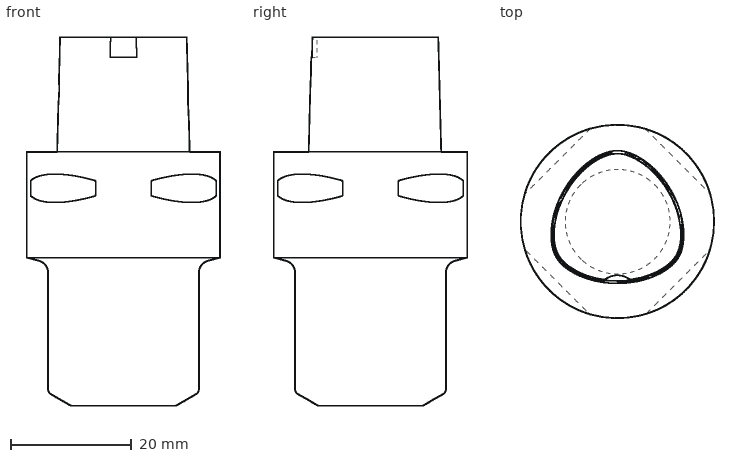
import cadquery as cq
import math

total_height = 61.0
flange_top = 42.0
flange_bottom = 24.5
flange_radius = 32.0 / 2
shank_radius = 25.0 / 2

underside_angle = math.radians(15)
cove_radius = 1.95

nose_radius = 8.65
nose_angle = math.radians(30)
nose_corner_radius = 1.0

groove_height = 36.0
groove_floor_distance = 14.1
groove_floor_half_width = 1.25
groove_flank_angle = math.radians(30)
groove_corner_radius = 0.3

lobe_base_radius = 11.0
lobe_top_radius = 10.5
lobe_eccentricity = 0.75
lobe_points = 48

notch_radius = 3.5
notch_depth = 3.35
notch_wall_y = -8.9


def revolved_body():
    """Flange and round shank, with the profile turned about Z."""
    nose_top = (shank_radius - nose_radius) * math.tan(nose_angle)
    cone_at_shank = flange_bottom - (flange_radius - shank_radius) * math.tan(underside_angle)
    tangent_length = cove_radius * math.tan((math.pi / 2 - underside_angle) / 2)
    cove_start = (shank_radius, cone_at_shank - tangent_length)
    cove_end = (
        shank_radius + tangent_length * math.cos(underside_angle),
        cone_at_shank + tangent_length * math.sin(underside_angle),
    )
    corner_length = nose_corner_radius * math.tan((math.pi / 2 - nose_angle) / 2)
    corner_start = (
        shank_radius - corner_length * math.cos(nose_angle),
        nose_top - corner_length * math.sin(nose_angle),
    )
    corner_end = (shank_radius, nose_top + corner_length)
    return (
        cq.Workplane("XZ")
        .lineTo(nose_radius, 0)
        .lineTo(*corner_start)
        .radiusArc(corner_end, -nose_corner_radius)
        .lineTo(*cove_start)
        .radiusArc(cove_end, cove_radius)
        .lineTo(flange_radius, flange_bottom)
        .lineTo(flange_radius, flange_top)
        .lineTo(0, flange_top)
        .close()
        .revolve(360, (0, 0, 0), (0, 1, 0))
    )


def lobe_outline(mean_radius, height):
    """Closed constant-width curve with one lobe pointing toward +Y."""
    points = []
    for index in range(lobe_points):
        angle = 2 * math.pi * index / lobe_points
        along = (
            mean_radius * math.cos(angle)
            + 2 * lobe_eccentricity * math.cos(2 * angle)
            - lobe_eccentricity * math.cos(4 * angle)
        )
        across = (
            mean_radius * math.sin(angle)
            - 2 * lobe_eccentricity * math.sin(2 * angle)
            - lobe_eccentricity * math.sin(4 * angle)
        )
        points.append(cq.Vector(-across, along, height))
    return cq.Wire.assembleEdges([cq.Edge.makeSpline(points, periodic=True)])


def lobed_shank():
    base = lobe_outline(lobe_base_radius, flange_top)
    top = lobe_outline(lobe_top_radius, total_height)
    return cq.Workplane(obj=cq.Solid.makeLoft([base, top], True))


def groove_cutter():
    """Straight groove on the +X side, flared outward and rounded at its floor."""
    outer_distance = flange_radius + 0.6
    flare = (outer_distance - groove_floor_distance) * math.tan(groove_flank_angle)
    outer_half_width = groove_floor_half_width + flare
    return (
        cq.Workplane("XZ", origin=(0, 0, groove_height))
        .moveTo(groove_floor_distance, -groove_floor_half_width)
        .lineTo(outer_distance, -outer_half_width)
        .lineTo(outer_distance, outer_half_width)
        .lineTo(groove_floor_distance, groove_floor_half_width)
        .close()
        .extrude(flange_radius, both=True)
        .edges("<X and |Y")
        .fillet(groove_corner_radius)
    )


def notch_cutter():
    return (
        cq.Workplane("XY", origin=(0, notch_wall_y - notch_radius, total_height - notch_depth))
        .circle(notch_radius)
        .extrude(notch_depth)
    )


result = revolved_body().union(lobed_shank())
for groove_angle in (45, 135, 225, 315):
    result = result.cut(groove_cutter().rotate((0, 0, 0), (0, 0, 1), groove_angle))
result = result.cut(notch_cutter())